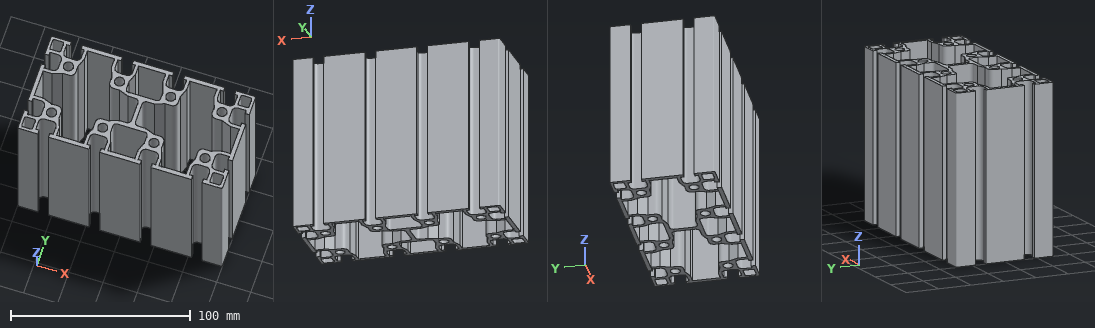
import cadquery as cq

width = 120.0
depth = 60.0
length = 100.0
pitch = 30.0
corner_radius = 1.0

skin = 2.5
stem = 2.4
pocket_floor = 10.3

mouth_width = 6.2
slot_width = 10.2
slot_depth = 10.0
slot_radius = 2.8

bore_diameter = 5.5
boss_half = 5.0
web_half = 7.1
slant_start = 1.7
slant_end = 7.2
boss_radius = 3.0
stem_radius = 2.4
pocket_radius = 1.8

cell_wall = 1.7
cell_size = 6.4
cell_radius = 1.0

half_width = width / 2
half_depth = depth / 2
boss_y = pitch / 2
inner_boss_x = pitch / 2
outer_boss_x = inner_boss_x + pitch
boss_columns = [-outer_boss_x, -inner_boss_x, inner_boss_x, outer_boss_x]
boss_rows = [-boss_y, boss_y]


def round_edges(body, points, radius):
    """Fillet the vertical edges standing at the given XY points."""
    for x, y in points:
        edge = cq.selectors.NearestToPointSelector((x, y, length / 2))
        body = body.edges(edge).fillet(radius)
    return body


def t_slot(angle, face_distance, offset):
    """T-slot cutter opening outward toward the given direction, shifted sideways by offset."""
    mouth = cq.Workplane("XY").box(mouth_width, skin, length, centered=(True, False, False))
    mouth = mouth.translate((0, -skin, 0))
    channel_depth = slot_depth - skin
    channel = cq.Workplane("XY").box(slot_width, channel_depth, length, centered=(True, False, False))
    channel = channel.edges("|Z and <Y").fillet(slot_radius)
    channel = channel.translate((0, -slot_depth, 0))
    slot = mouth.union(channel).translate((offset, face_distance, 0))
    return slot.rotate((0, 0, 0), (0, 0, 1), angle)


def end_cavity():
    """Large cavity on the -X side; its +Y half is drawn and then mirrored."""
    outer_x = -outer_boss_x
    inner_x = -inner_boss_x
    end_x = skin - half_width
    top_y = half_depth - skin
    web_y = boss_y - web_half
    flat_y = boss_y - boss_half
    stem_x = -stem / 2
    outline = [
        (end_x, 0),
        (end_x, web_y),
        (outer_x - slant_end, web_y),
        (outer_x - slant_start, flat_y),
        (outer_x + boss_half, flat_y),
        (outer_x + boss_half, boss_y + slant_start),
        (outer_x + web_half, boss_y + slant_end),
        (outer_x + web_half, top_y),
        (inner_x - web_half, top_y),
        (inner_x - web_half, boss_y + slant_end),
        (inner_x - boss_half, boss_y + slant_start),
        (inner_x - boss_half, flat_y),
        (inner_x + slant_start, flat_y),
        (inner_x + slant_end, web_y),
        (stem_x, web_y),
        (stem_x, 0),
    ]
    half = cq.Workplane("XY").polyline(outline).close().extrude(length)
    boss_corners = [(outer_x + boss_half, flat_y), (inner_x - boss_half, flat_y)]
    half = round_edges(half, boss_corners, boss_radius)
    half = round_edges(half, [(stem_x, web_y)], stem_radius)
    return half.union(half.mirror("XZ"))


def side_pocket():
    """Pocket between the two inner bosses on the +Y side."""
    narrow = inner_boss_x - web_half
    wide = inner_boss_x - boss_half
    top_y = half_depth - skin
    right_side = [
        (wide, pocket_floor),
        (wide, boss_y + slant_start),
        (narrow, boss_y + slant_end),
        (narrow, top_y),
    ]
    left_side = [(-x, y) for x, y in reversed(right_side)]
    pocket = cq.Workplane("XY").polyline(right_side + left_side).close().extrude(length)
    return round_edges(pocket, [(wide, pocket_floor), (-wide, pocket_floor)], pocket_radius)


result = cq.Workplane("XY").box(width, depth, length, centered=(True, True, False))
result = result.edges("|Z").fillet(corner_radius)

for angle in (0, 180):
    for offset in boss_columns:
        result = result.cut(t_slot(angle, half_depth, offset))
for angle in (90, 270):
    for offset in boss_rows:
        result = result.cut(t_slot(angle, half_width, offset))

cavity = end_cavity()
result = result.cut(cavity).cut(cavity.mirror("YZ"))
pocket = side_pocket()
result = result.cut(pocket).cut(pocket.mirror("XZ"))

cell_center = cell_wall + cell_size / 2
cells = (
    cq.Workplane("XY")
    .rect(width - 2 * cell_center, depth - 2 * cell_center, forConstruction=True)
    .vertices()
    .rect(cell_size, cell_size)
    .extrude(length)
    .edges("|Z")
    .fillet(cell_radius)
)
result = result.cut(cells)

bore_points = [(x, y) for x in boss_columns for y in boss_rows]
bores = cq.Workplane("XY").pushPoints(bore_points).circle(bore_diameter / 2).extrude(length)
result = result.cut(bores)